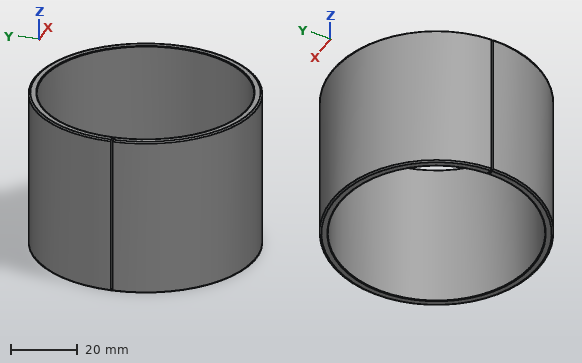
import cadquery as cq

outer_diameter = 70.0
inner_diameter = 65.0
length = 50.0
outer_chamfer_height = 0.4
outer_chamfer_width = 0.55
inner_chamfer = 0.2
slit_angle = 1.0

outer_radius = outer_diameter / 2
inner_radius = inner_diameter / 2
half_length = length / 2

wall_section = (
    cq.Workplane("XZ")
    .moveTo(-inner_radius, -half_length + inner_chamfer)
    .lineTo(-inner_radius - inner_chamfer, -half_length)
    .lineTo(-outer_radius + outer_chamfer_width, -half_length)
    .lineTo(-outer_radius, -half_length + outer_chamfer_height)
    .lineTo(-outer_radius, half_length - outer_chamfer_height)
    .lineTo(-outer_radius + outer_chamfer_width, half_length)
    .lineTo(-inner_radius - inner_chamfer, half_length)
    .lineTo(-inner_radius, half_length - inner_chamfer)
    .close()
)

result = wall_section.revolve(360 - slit_angle, (0, 0, 0), (0, 1, 0))